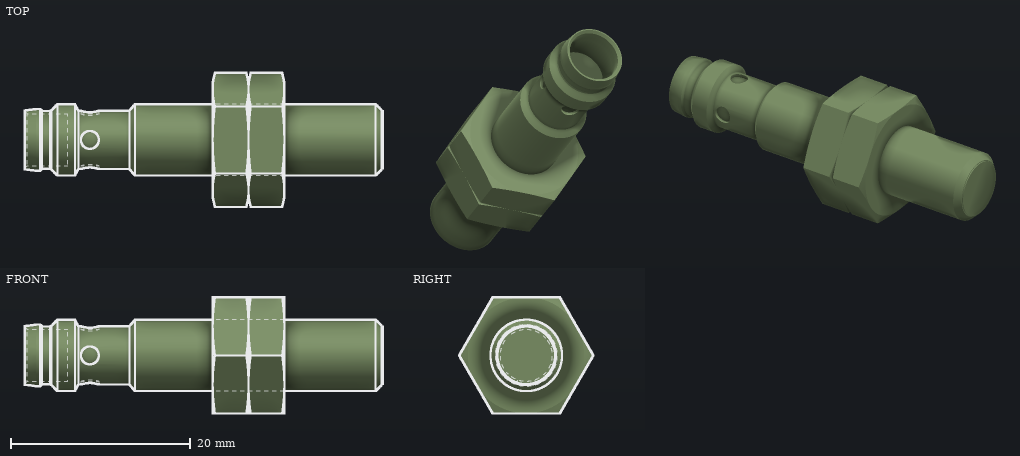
import cadquery as cq
import math

total_length = 40
barrel_radius = 8 / 2
neck_radius = 6.5 / 2

rim_end_radius = 6.6 / 2
rim_radius = 6.9 / 2
groove_radius = 6.5 / 2
rim_taper_end = 1.3
rim_land_end = 1.7
groove_start = 1.95

collar_start = 2.85
collar_foot_radius = 6.65 / 2
collar_foot_end = 3.0
collar_land_start = 3.65
collar_land_end = 5.6
collar_end = 6

shoulder_start = 11.7
shoulder_end = 12.3

end_chamfer = 0.7
nose_length = 0.1
nose_radius = 6.45 / 2

bore_radius = 5.8 / 2
bore_mouth_radius = 6.35 / 2
bore_depth = 4.8

window_diameter = 2
window_x = 7.3
window_floor_radius = 5.8 / 2
window_count = 4

nut_count = 2
nut_length = 4
nut_flats = 13.0
nut_start = 21.0
nut_chamfer = 0.25


def revolve_about_x(points):
    """Revolve a closed (x, radius) outline about the X axis."""
    return cq.Workplane("XY").polyline(points).close().revolve(360, (0, 0), (1, 0))


def cylinder_along_x(start, length, radius):
    return cq.Workplane("YZ", origin=(start, 0, 0)).circle(radius).extrude(length)


def make_barrel_blank():
    nose_start = total_length - nose_length
    return revolve_about_x([
        (0, 0),
        (0, rim_end_radius),
        (rim_taper_end, rim_radius),
        (rim_land_end, rim_radius),
        (groove_start, groove_radius),
        (collar_start, groove_radius),
        (collar_foot_end, collar_foot_radius),
        (collar_land_start, barrel_radius),
        (collar_land_end, barrel_radius),
        (collar_end, neck_radius),
        (shoulder_start, neck_radius),
        (shoulder_end, barrel_radius),
        (nose_start - end_chamfer, barrel_radius),
        (nose_start, barrel_radius - end_chamfer),
        (nose_start, nose_radius),
        (total_length, nose_radius),
        (total_length, 0),
    ])


def make_socket_bore():
    mouth_depth = bore_mouth_radius - bore_radius
    return revolve_about_x([
        (0, 0),
        (0, bore_mouth_radius),
        (mouth_depth, bore_radius),
        (bore_depth, bore_radius),
        (bore_depth, 0),
    ])


def make_window_cutters():
    """Radial plugs whose inner ends follow the curved window floor."""
    floor_core = cylinder_along_x(0, shoulder_start, window_floor_radius)
    plug = (
        cq.Workplane("XY", origin=(window_x, 0, 0))
        .circle(window_diameter / 2)
        .extrude(barrel_radius)
        .cut(floor_core)
    )
    angle_step = 360 / window_count
    return [plug.rotate((0, 0, 0), (1, 0, 0), i * angle_step) for i in range(window_count)]


def make_barrel():
    barrel = make_barrel_blank().cut(make_socket_bore())
    for window in make_window_cutters():
        barrel = barrel.cut(window)
    return barrel


def make_nut(start):
    """Hex nut with flats on +Z and -Z and both faces chamfered at the corners."""
    flat_radius = nut_flats / 2
    corner_radius = flat_radius / math.cos(math.pi / 6)
    hexagon = (
        cq.Workplane("YZ", origin=(start, 0, 0))
        .polygon(6, 2 * corner_radius)
        .extrude(nut_length)
    )
    end = start + nut_length
    chamfer_envelope = revolve_about_x([
        (start, 0),
        (start, flat_radius),
        (start + nut_chamfer, corner_radius),
        (end - nut_chamfer, corner_radius),
        (end, flat_radius),
        (end, 0),
    ])
    bore = cylinder_along_x(start, nut_length, barrel_radius)
    return hexagon.intersect(chamfer_envelope).cut(bore)


barrel = make_barrel()
nuts = [make_nut(nut_start + i * nut_length) for i in range(nut_count)]

result = cq.Compound.makeCompound([barrel.val(), *[nut.val() for nut in nuts]])